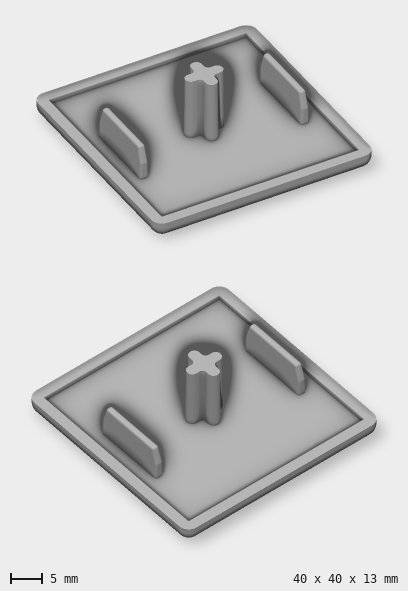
import cadquery as cq
import math

PLATE_SIDE = 40.0
PLATE_THICKNESS = 3.0
PLATE_CORNER_RADIUS = 2.0
PLATE_BOTTOM_RADIUS = 2.0

RIM_WIDTH = 2.0
RECESS_DEPTH = 1.0
RECESS_CORNER_RADIUS = 0.1
RECESS_LIP_RADIUS = 0.2

STEM_TOP_Z = 13.0
STEM_ARM_COUNT = 4
STEM_REACH = 3.5
STEM_ARM_RADIUS = 1.1
STEM_BLEND_RADIUS = 0.65
STEM_DRAFT = 0.5

TAB_OFFSET_Y = 14.7
TAB_LENGTH = 13.5
TAB_TOP_LENGTH = 11.7
TAB_THICKNESS = 1.6
TAB_DRAFT = 2.0
TAB_SHOULDER_Z = 5.0
TAB_TOP_Z = 8.0
TAB_EDGE_RADIUS = 0.5

FLOOR_Z = PLATE_THICKNESS - RECESS_DEPTH


def make_plate():
    """Rounded square plate with a rounded underside and a recessed top."""
    plate = (
        cq.Workplane("XY")
        .rect(PLATE_SIDE, PLATE_SIDE)
        .extrude(PLATE_THICKNESS)
        .edges("|Z")
        .fillet(PLATE_CORNER_RADIUS)
        .faces("<Z")
        .edges()
        .fillet(PLATE_BOTTOM_RADIUS)
    )
    recess_side = PLATE_SIDE - 2 * RIM_WIDTH
    recess = (
        cq.Workplane("XY")
        .workplane(offset=FLOOR_Z)
        .rect(recess_side, recess_side)
        .extrude(RECESS_DEPTH)
        .edges("|Z")
        .fillet(RECESS_CORNER_RADIUS)
    )
    inner_half = (recess_side + RIM_WIDTH) / 2
    lip_edge = cq.selectors.BoxSelector(
        (-inner_half, -inner_half, PLATE_THICKNESS - RECESS_DEPTH / 2),
        (inner_half, inner_half, PLATE_THICKNESS + RECESS_DEPTH / 2),
        boundingbox=True,
    )
    return plate.cut(recess).edges(lip_edge).fillet(RECESS_LIP_RADIUS)


def make_stem_profile(z, inset):
    """Closed cross outline at height z, moved inward by inset from the base outline."""
    arm_radius = STEM_ARM_RADIUS - inset
    blend_radius = STEM_BLEND_RADIUS + inset
    reach = STEM_REACH - inset
    arm_center = reach - arm_radius
    blend_center = arm_radius + blend_radius
    blend_middle = blend_center - blend_radius * math.cos(math.radians(45))

    def turned(x, y, quarter_turns):
        for _ in range(quarter_turns):
            x, y = -y, x
        return x, y

    outline = cq.Workplane("XY").workplane(offset=z).moveTo(arm_center, -arm_radius)
    for arm in range(STEM_ARM_COUNT):
        outline = (
            outline.threePointArc(turned(reach, 0, arm), turned(arm_center, arm_radius, arm))
            .lineTo(*turned(blend_center, arm_radius, arm))
            .threePointArc(
                turned(blend_middle, blend_middle, arm),
                turned(arm_radius, blend_center, arm),
            )
            .lineTo(*turned(arm_radius, arm_center, arm))
        )
    return outline.wire().val()


def make_stem():
    """Four round-ended arms, blended at the inner corners and drafted upward."""
    top_inset = (STEM_TOP_Z - FLOOR_Z) * math.tan(math.radians(STEM_DRAFT))
    base_profile = make_stem_profile(FLOOR_Z, 0)
    top_profile = make_stem_profile(STEM_TOP_Z, top_inset)
    return cq.Workplane(cq.Solid.makeLoft([base_profile, top_profile], True))


def make_tab(center_y):
    """Upright tab with drafted faces, sloping upper ends and rounded edges."""
    height = TAB_TOP_Z - FLOOR_Z
    half_length = TAB_LENGTH / 2
    half_top_length = TAB_TOP_LENGTH / 2
    half_base = TAB_THICKNESS / 2
    half_top = half_base - height * math.tan(math.radians(TAB_DRAFT))

    end_outline = (
        cq.Workplane("XZ")
        .polyline(
            [
                (-half_length, FLOOR_Z),
                (half_length, FLOOR_Z),
                (half_length, TAB_SHOULDER_Z),
                (half_top_length, TAB_TOP_Z),
                (-half_top_length, TAB_TOP_Z),
                (-half_length, TAB_SHOULDER_Z),
            ]
        )
        .close()
        .extrude(half_base, both=True)
    )
    cross_section = (
        cq.Workplane("YZ")
        .polyline(
            [
                (-half_base, FLOOR_Z),
                (half_base, FLOOR_Z),
                (half_top, TAB_TOP_Z),
                (-half_top, TAB_TOP_Z),
            ]
        )
        .close()
        .extrude(half_length, both=True)
    )
    tab = end_outline.intersect(cross_section)
    face_edges = tab.faces("<Y or >Y").edges("not <Z")
    top_end_edges = tab.faces(">Z").edges("|Y")
    tab = face_edges.add(top_end_edges).fillet(TAB_EDGE_RADIUS)
    return tab.translate((0, center_y, 0))


result = make_plate().union(make_stem())
for side in (-1, 1):
    result = result.union(make_tab(side * TAB_OFFSET_Y))